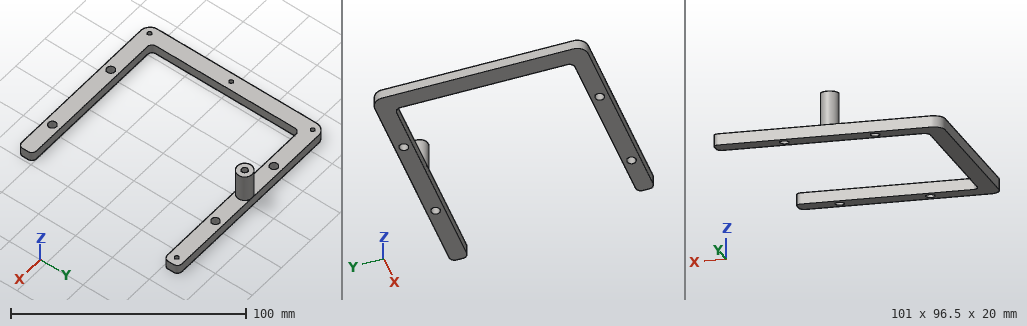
import cadquery as cq

frame_length = 101.0
frame_width = 96.5
short_arm_length = 89.0
bar_width = 8.0
frame_thickness = 5.0
outer_corner_radius = 5.0
inner_corner_radius = 2.5
arm_end_radius = 2.5

through_hole_diameter = 4.0
through_hole_spacing = 40.0
blind_hole_diameter = 2.0
blind_hole_depth = 3.0

total_height = 20.0
post_diameter = bar_width
post_height = total_height - frame_thickness
post_bore_diameter = 3.0
post_bore_depth = 10.1

bar_center = bar_width / 2
long_arm_y = frame_width - bar_center
short_arm_y = bar_center
post_x = frame_length / 2


def make_plate():
    """C-shaped plate with rounded corners and arm ends."""
    inner_back_y = frame_width - bar_width
    plate = (
        cq.Workplane("XY")
        .moveTo(0, 0)
        .lineTo(short_arm_length, 0)
        .lineTo(short_arm_length, bar_width)
        .lineTo(bar_width, bar_width)
        .lineTo(bar_width, inner_back_y)
        .lineTo(frame_length, inner_back_y)
        .lineTo(frame_length, frame_width)
        .lineTo(0, frame_width)
        .close()
        .extrude(frame_thickness)
    )
    plate = plate.edges("|Z and <X").fillet(outer_corner_radius)

    margin = 1.0
    inner_corners = cq.selectors.BoxSelector(
        (bar_width - margin, bar_width - margin, -margin),
        (bar_width + margin, inner_back_y + margin, frame_thickness + margin),
    )
    plate = plate.edges("|Z").edges(inner_corners).fillet(inner_corner_radius)

    for end_x, arm_y in [(short_arm_length, short_arm_y), (frame_length, long_arm_y)]:
        end_point = (end_x, arm_y, frame_thickness / 2)
        end_face = plate.faces(cq.selectors.NearestToPointSelector(end_point))
        plate = end_face.edges("|Z").fillet(arm_end_radius)
    return plate


def make_frame():
    """Plate with through holes in both arms and blind holes from the top."""
    through_points = [
        (post_x + side * through_hole_spacing / 2, arm_y)
        for side in (-1, 1)
        for arm_y in (short_arm_y, long_arm_y)
    ]
    through_holes = (
        cq.Workplane("XY")
        .pushPoints(through_points)
        .circle(through_hole_diameter / 2)
        .extrude(frame_thickness)
    )

    blind_points = [
        (bar_center, short_arm_y),
        (bar_center, frame_width / 2),
        (bar_center, long_arm_y),
        (frame_length - bar_center, long_arm_y),
    ]
    blind_holes = (
        cq.Workplane("XY", origin=(0, 0, frame_thickness))
        .pushPoints(blind_points)
        .circle(blind_hole_diameter / 2)
        .extrude(-blind_hole_depth)
    )
    return make_plate().cut(through_holes).cut(blind_holes)


def make_post():
    """Standoff resting on the long arm, with a blind bore from its top."""
    return (
        cq.Workplane("XY", origin=(post_x, long_arm_y, frame_thickness))
        .circle(post_diameter / 2)
        .extrude(post_height)
        .faces(">Z")
        .workplane()
        .hole(post_bore_diameter, post_bore_depth)
    )


frame = make_frame()
post = make_post()
result = cq.Compound.makeCompound([frame.val(), post.val()])